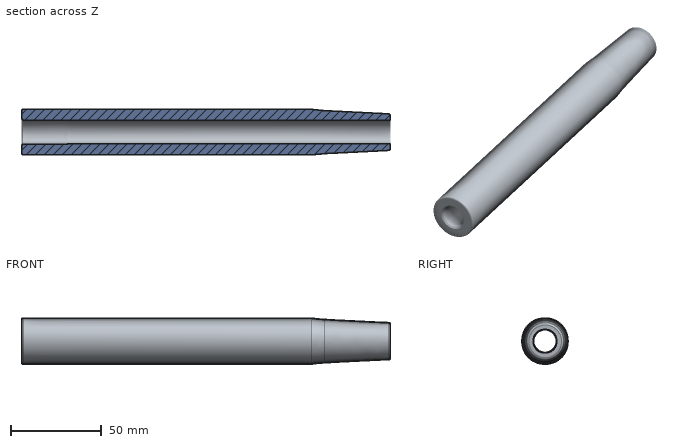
import cadquery as cq

length = 203.2
body_radius = 25.5 / 2

collar_length = 7.3
taper_length = 36.4
taper_start_radius = 12.0
taper_slope = 0.05
taper_end_radius = taper_start_radius - taper_slope * taper_length

bore_diameter = 12.5
entry_diameter = 13.0
entry_depth = 25.5

body_fillet = 1.0
nose_fillet = 1.2
mouth_chamfer = 0.8

back_x = -length / 2
front_x = length / 2
taper_x = front_x - taper_length
collar_x = taper_x - collar_length


def make_shaft():
    """Revolve the cylinder, collar cone and nose taper, then round both ends."""
    profile = (
        cq.Workplane("XY")
        .moveTo(back_x, 0)
        .lineTo(back_x, body_radius)
        .lineTo(collar_x, body_radius)
        .lineTo(taper_x, taper_start_radius)
        .lineTo(front_x, taper_end_radius)
        .lineTo(front_x, 0)
        .close()
    )
    shaft = profile.revolve(360, (0, 0, 0), (1, 0, 0))
    shaft = shaft.faces("<X").edges().fillet(body_fillet)
    return shaft.faces(">X").edges().fillet(nose_fillet)


def make_bore():
    """Revolve the through bore with its wider, chamfered entry."""
    bore_radius = bore_diameter / 2
    entry_radius = entry_diameter / 2
    entry_end_x = back_x + entry_depth
    profile = (
        cq.Workplane("XY")
        .moveTo(back_x, 0)
        .lineTo(back_x, entry_radius + mouth_chamfer)
        .lineTo(back_x + mouth_chamfer, entry_radius)
        .lineTo(entry_end_x, entry_radius)
        .lineTo(entry_end_x, bore_radius)
        .lineTo(front_x, bore_radius)
        .lineTo(front_x, 0)
        .close()
    )
    return profile.revolve(360, (0, 0, 0), (1, 0, 0))


result = make_shaft().cut(make_bore())